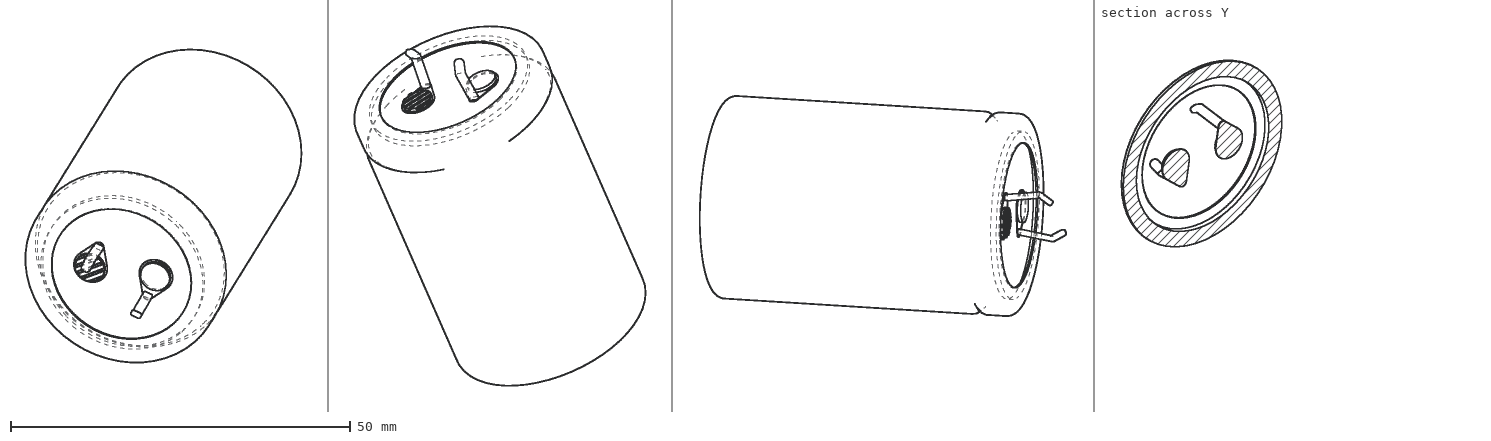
import cadquery as cq
import math

can_diameter = 29.95
overall_length = 51.15
can_length = 45.0
can_radius = can_diameter / 2
edge_radius = 1.0

bead_position = 5.0
bead_width = 2.35
bead_floor_diameter = 28.8
bead_floor_width = 0.3
bead_lip_share = 0.6

deck_diameter = 21.45
deck_depth = 1.1
deck_rim_thickness = 0.25
deck_bore_diameter = 24.85

terminal_pitch = 10.0
terminal_tilt = 20.0
plate_diameter = 5.1
plate_thickness = 0.1
plate_tip_radius = 0.75
rivet_diameter = 4.5
rivet_height = 0.6

mark_count = 5
mark_spacing = 1.0
mark_width = 0.35
mark_depth = 0.2
mark_angle = 29.0

lead_width = 1.45
lead_thickness = 0.8
lead_edge_radius = 0.25
lead_base_reach = 3.7
lead_bend_reach = 4.4
lead_bend_height = 4.1
lead_tip_angle = 32.0
lead_total_height = overall_length - can_length
lead_tip_radius = 0.65
lead_bend_radius = 0.6


def make_can():
    """Revolve the half section; x is the radius and y runs along the axis."""
    floor_radius = bead_floor_diameter / 2
    depth = can_radius - floor_radius
    run = (bead_width - bead_floor_width) / 2
    half_angle = math.atan(depth / run)
    flank_angle = 2 * half_angle
    radius_sum = run / math.sin(flank_angle)
    lip_radius = radius_sum * bead_lip_share
    root_radius = radius_sum - lip_radius
    lip_run = lip_radius * math.sin(flank_angle)
    lip_drop = lip_radius * (1 - math.cos(flank_angle))
    lip_mid_run = lip_radius * math.sin(half_angle)
    lip_mid_drop = lip_radius * (1 - math.cos(half_angle))
    root_mid_run = root_radius * math.sin(half_angle)
    root_mid_rise = root_radius * (1 - math.cos(half_angle))
    floor_start = bead_position - bead_floor_width / 2
    floor_end = bead_position + bead_floor_width / 2
    start = bead_position - bead_width / 2
    end = bead_position + bead_width / 2

    section = (
        cq.Workplane("XY")
        .lineTo(can_radius, 0)
        .lineTo(can_radius, start)
        .threePointArc(
            (can_radius - lip_mid_drop, start + lip_mid_run),
            (can_radius - lip_drop, start + lip_run),
        )
        .threePointArc(
            (floor_radius + root_mid_rise, floor_start - root_mid_run),
            (floor_radius, floor_start),
        )
        .lineTo(floor_radius, floor_end)
        .threePointArc(
            (floor_radius + root_mid_rise, floor_end + root_mid_run),
            (can_radius - lip_drop, end - lip_run),
        )
        .threePointArc(
            (can_radius - lip_mid_drop, end - lip_mid_run),
            (can_radius, end),
        )
        .lineTo(can_radius, can_length)
        .lineTo(0, can_length)
        .close()
    )
    can = section.revolve(360, (0, 0, 0), (0, 1, 0))
    return can.faces("<Y or >Y").edges().fillet(edge_radius)


def disc(diameter, bottom, height):
    """Disc on the Y axis that rises from Y = bottom toward -Y."""
    return cq.Workplane("XZ", origin=(0, bottom, 0)).circle(diameter / 2).extrude(height)


def make_plate():
    """Tear-drop plate: two circles joined by their common tangents, pointing along +Z."""
    big = plate_diameter / 2
    small = plate_tip_radius
    reach = lead_base_reach
    slope = (big - small) / reach
    flank = math.sqrt(1 - slope**2)
    return (
        cq.Workplane("XZ", origin=(0, deck_depth, 0))
        .moveTo(big * flank, big * slope)
        .lineTo(small * flank, reach + small * slope)
        .threePointArc((0, reach + small), (-small * flank, reach + small * slope))
        .lineTo(-big * flank, big * slope)
        .threePointArc((0, -big), (big * flank, big * slope))
        .close()
        .extrude(plate_thickness)
    )


def nearest_to(x, y, z):
    """Selector for the edge whose middle is closest to a point."""
    return cq.selectors.NearestToPointSelector((x, y, z))


def make_lead():
    """Flat bent strip; its side profile lies in the YZ plane and it is extruded along X."""
    half = lead_thickness / 2
    lower_angle = math.atan2(lead_bend_reach - lead_base_reach, lead_bend_height + deck_depth)
    upper_angle = math.radians(lead_tip_angle)
    miter_angle = (lower_angle - upper_angle) / 2
    miter = half / math.cos((lower_angle + upper_angle) / 2)
    bend_out = (
        -lead_bend_height + miter * math.sin(miter_angle),
        lead_bend_reach + miter * math.cos(miter_angle),
    )
    bend_in = (
        -lead_bend_height - miter * math.sin(miter_angle),
        lead_bend_reach - miter * math.cos(miter_angle),
    )
    base_half = half / math.cos(lower_angle)
    tip_across = lead_thickness * math.cos(upper_angle)
    tip_along = lead_thickness * math.sin(upper_angle)
    rounding_loss = lead_edge_radius * (math.cos(upper_angle) + math.sin(upper_angle) - 1)
    tip_height = lead_total_height + rounding_loss
    tip_rise = tip_height - tip_along / 2 - lead_bend_height
    tip_reach = lead_bend_reach - tip_rise * math.tan(upper_angle)
    tip_out = (-tip_height, tip_reach + tip_across / 2)
    tip_in = (-tip_height + tip_along, tip_reach - tip_across / 2)
    strip = (
        cq.Workplane("YZ", origin=(-lead_width / 2, 0, 0))
        .polyline([
            (deck_depth, lead_base_reach + base_half),
            bend_out,
            tip_out,
            tip_in,
            bend_in,
            (deck_depth, lead_base_reach - base_half),
        ])
        .close()
        .extrude(lead_width)
    )
    strip = strip.edges(nearest_to(0, *bend_out)).fillet(lead_bend_radius)
    tip_middle = ((tip_out[0] + tip_in[0]) / 2, (tip_out[1] + tip_in[1]) / 2)
    for side in (-1, 1):
        tip_corner = nearest_to(side * lead_width / 2, *tip_middle)
        strip = strip.edges(tip_corner).fillet(lead_tip_radius)
    for side_face in ("<X", ">X"):
        strip = strip.faces(side_face).edges("not >Y").fillet(lead_edge_radius)
    return strip


def make_terminal(marked):
    """One terminal around the Y axis with its lead toward +Z."""
    rivet = disc(rivet_diameter, deck_depth, rivet_height)
    if marked:
        for index in range(mark_count):
            offset = (index - (mark_count - 1) / 2) * mark_spacing
            groove = (
                cq.Workplane("XY")
                .box(plate_diameter, mark_depth, mark_width)
                .translate((0, deck_depth - rivet_height + mark_depth / 2, offset))
                .rotate((0, 0, 0), (0, 1, 0), -mark_angle - terminal_tilt)
            )
            rivet = rivet.cut(groove)
    return make_plate().union(rivet).union(make_lead())


def place_terminal(terminal, turn):
    """Tilt the terminal, move it to -X and turn it about the can axis."""
    return (
        terminal.rotate((0, 0, 0), (0, 1, 0), terminal_tilt)
        .translate((-terminal_pitch / 2, 0, 0))
        .rotate((0, 0, 0), (0, 1, 0), turn)
    )


body = (
    make_can()
    .cut(disc(deck_diameter, deck_depth, deck_depth))
    .cut(disc(deck_bore_diameter, deck_depth, deck_depth - deck_rim_thickness))
)
negative_terminal = place_terminal(make_terminal(True), 0)
positive_terminal = place_terminal(make_terminal(False), 180)

result = body.union(negative_terminal).union(positive_terminal)